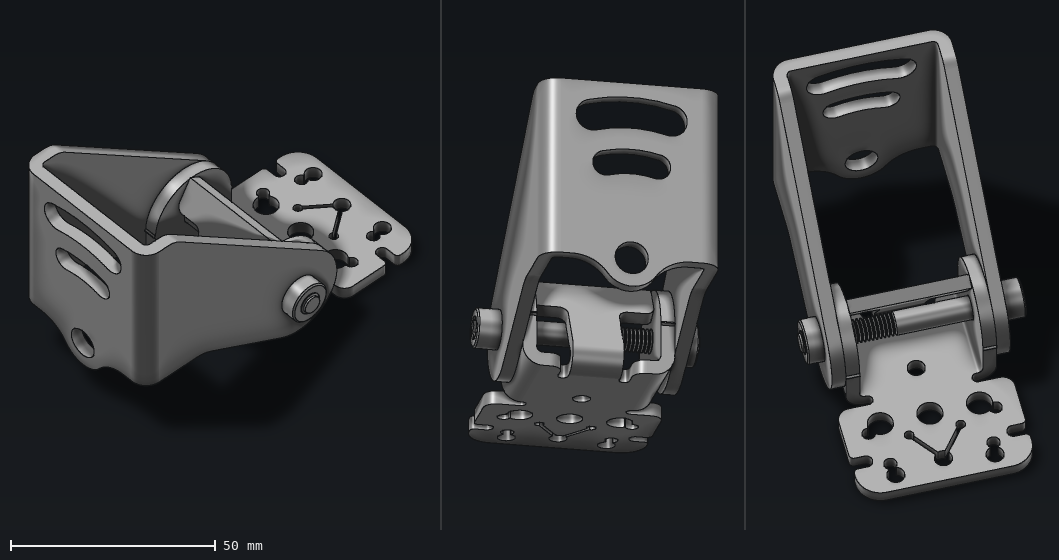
import cadquery as cq
import math


SHEET = 3.5
HINGE_Z = 13.43
BRACKET_WIDTH = 45.0
EAR_SPAN = BRACKET_WIDTH - 2 * SHEET
EAR_GAP = EAR_SPAN - 2 * SHEET
HINGE_RADIUS = 12.65

BASE_END_Y = 41.33
HEAD_WIDTH = 44.5
BASE_BEND_RADIUS = 5.0
RELIEF_WIDTH = 2.5
RELIEF_END_X = 12.55
HEAD_START_Y = HINGE_RADIUS + RELIEF_WIDTH
HEAD_END_CORNER = 6.35
HEAD_START_CORNER = 3.2
EAR_HOLE_DIAMETER = 6.2
TOOTH_HEIGHT = 0.5
TOOTH_HALF_BASE = 0.5

SMALL_HOLE = 4.37
KEY_HOLE = 3.2
LARGE_HOLE = 6.35
NECK_HOLE_Y = 7.54
LARGE_HOLE_Y = 21.3
HOLE_OFFSET_X = 12.5
SIDE_KEY = (16.0, 23.5)
SIDE_KEY_NECK = 2.6
END_HOLE_Y = 36.9
END_KEY = (13.0, 33.4)
END_KEY_NECK = 1.9
VEE_TOP_Y = 34.95
VEE_END = (6.5, 26.3)
VEE_END_HOLE = 2.3
VEE_SLIT = 0.95
EDGE_SLOT_Y = 31.3
EDGE_SLOT_WIDTH = 3.175
EDGE_SLOT_END_X = 16.97
EDGE_SLOT_LIP = 1.2

TAB_WIDTH = 12.8
TAB_GAP = 2.54
TAB_GAP_END_Y = -5.3
FOOT_CORNER = 3.2
TONGUE_FOLD = 120.0
TONGUE_BEND_RADIUS = 5.25
TONGUE_FRONT_Y = -12.55
TONGUE_TOP_Y = -1.15
PANEL_START_Y = -5.8
PANEL_CLEARANCE = 0.05
PANEL_CORNER = 2.3
PANEL_NECK_FILLET = 2.3

OVERALL_DEPTH = 92.33
BACK_Y = BASE_END_Y - OVERALL_DEPTH
TOP_Z = 60.52
ARM_BOTTOM_Z = 14.8
BRACKET_BEND_RADIUS = 4.8
ARM_TOP_SLOPE = 37.2
ARM_BOTTOM_SLOPE = 26.3
ARM_TOP_FILLET = 6.35
ARM_BOTTOM_FILLET = 11.0
ARM_HOLE_DIAMETER = 6.4
CLINCH_HOLE_DIAMETER = 8.75
LOBE_RADIUS = 7.5
LOBE_FILLET = 10.7
LOBE_HOLE_DIAMETER = 8.22
ARC_SLOTS = [(38.0, 8.0), (25.2, 6.35)]
ARC_SLOT_HALF_ANGLE = 15.0

SCREW_DIAMETER = 6.0
SCREW_LENGTH = 50.0
HEAD_DIAMETER = 10.0
HEAD_HEIGHT = 6.0
HEAD_CHAMFER = 0.4
SOCKET_FLATS = 5.0
SOCKET_DEPTH = 3.0
SOCKET_MOUTH_DIAMETER = 5.8
SOCKET_MOUTH_DEPTH = 0.4
THREAD_LENGTH = 24.0
THREAD_PITCH = 1.0
THREAD_DEPTH = 0.6134 * THREAD_PITCH
THREAD_ROOT_FLAT = THREAD_PITCH / 4
THREAD_CREST_FLAT = THREAD_PITCH / 8
NUT_DIAMETER = 11.25
NUT_HEIGHT = 4.25
NUT_CHAMFER = 0.4


def block(x_range, y_range, z_range):
    """Box given by its limits along each axis."""
    size = [high - low for low, high in (x_range, y_range, z_range)]
    corner = (x_range[0], y_range[0], z_range[0])
    return cq.Workplane("XY").box(*size, centered=False).translate(corner)


def hinge_cylinder(diameter, x_start, x_end):
    """Cylinder on the hinge axis."""
    plane = cq.Workplane("YZ", origin=(x_start, 0, HINGE_Z))
    return plane.circle(diameter / 2).extrude(x_end - x_start)


def base_cylinder(diameter, x, y):
    """Drill through the base plate."""
    return cq.Workplane("XY").center(x, y).circle(diameter / 2).extrude(SHEET)


def base_slot(width, start, end):
    """Round-ended slot through the base plate between two end centres."""
    dx = end[0] - start[0]
    dy = end[1] - start[1]
    middle = ((start[0] + end[0]) / 2, (start[1] + end[1]) / 2)
    length = math.hypot(dx, dy) + width
    plane = cq.Workplane("XY").center(*middle)
    return plane.slot2D(length, width, math.degrees(math.atan2(dy, dx))).extrude(SHEET)


def round_corner(plate, x, y, radius):
    """Fillet the upright edge of a base plate nearest to a point."""
    corner = cq.selectors.NearestToPointSelector((x, y, SHEET / 2))
    return plate.edges("|Z").edges(corner).fillet(radius)


def eared_channel():
    """Base floor with an ear bent up on each side, rounded around the hinge."""
    ear_top = HINGE_Z + HINGE_RADIUS
    y_range = (-HINGE_RADIUS, HINGE_RADIUS)
    outside = block((-EAR_SPAN / 2, EAR_SPAN / 2), y_range, (0, ear_top))
    outside = outside.edges("|Y and <Z").fillet(BASE_BEND_RADIUS)
    inside = block((-EAR_GAP / 2, EAR_GAP / 2), y_range, (SHEET, ear_top))
    inside = inside.edges("|Y and <Z").fillet(BASE_BEND_RADIUS - SHEET)
    ear_outline = (
        cq.Workplane("YZ", origin=(-EAR_SPAN / 2, 0, 0))
        .moveTo(-HINGE_RADIUS, 0)
        .lineTo(HINGE_RADIUS, 0)
        .lineTo(HINGE_RADIUS, HINGE_Z)
        .threePointArc((0, ear_top), (-HINGE_RADIUS, HINGE_Z))
        .close()
        .extrude(EAR_SPAN)
    )
    return outside.cut(inside).intersect(ear_outline)


def ear_teeth():
    """Small pointed ridges on the front and back edges of both ears."""
    teeth = cq.Workplane("XY")
    for x_start in (-EAR_SPAN / 2, EAR_GAP / 2):
        for side in (-1, 1):
            edge_y = side * HINGE_RADIUS
            tooth = (
                cq.Workplane("YZ", origin=(x_start, 0, HINGE_Z))
                .moveTo(0, -TOOTH_HALF_BASE)
                .lineTo(edge_y, -TOOTH_HALF_BASE)
                .lineTo(edge_y + side * TOOTH_HEIGHT, 0)
                .lineTo(edge_y, TOOTH_HALF_BASE)
                .lineTo(0, TOOTH_HALF_BASE)
                .close()
                .extrude(SHEET)
            )
            teeth = teeth.union(tooth)
    return teeth


def head_plate():
    """Flat mounting head with its edge slots, joined to the floor by a neck."""
    head = block((-HEAD_WIDTH / 2, HEAD_WIDTH / 2), (HEAD_START_Y, BASE_END_Y), (0, SHEET))
    head = head.edges("|Z and >Y").fillet(HEAD_END_CORNER)
    head = head.edges("|Z and <Y").fillet(HEAD_START_CORNER)
    for side in (-1, 1):
        end_x = side * (EDGE_SLOT_END_X + EDGE_SLOT_WIDTH / 2)
        mouth_x = side * HEAD_WIDTH / 2
        slot = base_slot(EDGE_SLOT_WIDTH, (end_x, EDGE_SLOT_Y), (2 * mouth_x, EDGE_SLOT_Y))
        head = head.cut(slot)
        for lip in (-1, 1):
            lip_y = EDGE_SLOT_Y + lip * EDGE_SLOT_WIDTH / 2
            head = round_corner(head, mouth_x, lip_y, EDGE_SLOT_LIP)
    neck_half = EAR_SPAN / 2 - BASE_BEND_RADIUS
    neck = block((-neck_half, neck_half), (0, LARGE_HOLE_Y), (0, SHEET))
    return head.union(neck)


def base_cutouts():
    """Holes, keyholes, the vee of slits and the bend reliefs of the base plate."""
    cuts = base_cylinder(SMALL_HOLE, 0, NECK_HOLE_Y)
    cuts = cuts.union(base_cylinder(LARGE_HOLE, 0, LARGE_HOLE_Y))
    cuts = cuts.union(base_cylinder(SMALL_HOLE, 0, VEE_TOP_Y))
    for side in (-1, 1):
        large = (side * HOLE_OFFSET_X, LARGE_HOLE_Y)
        side_key = (side * SIDE_KEY[0], SIDE_KEY[1])
        end_hole = (side * HOLE_OFFSET_X, END_HOLE_Y)
        end_key = (side * END_KEY[0], END_KEY[1])
        vee_end = (side * VEE_END[0], VEE_END[1])
        relief_end = side * (RELIEF_END_X + RELIEF_WIDTH / 2)
        relief_y = HINGE_RADIUS + RELIEF_WIDTH / 2
        cuts = (
            cuts.union(base_cylinder(LARGE_HOLE, *large))
            .union(base_cylinder(KEY_HOLE, *side_key))
            .union(base_slot(SIDE_KEY_NECK, large, side_key))
            .union(base_cylinder(SMALL_HOLE, *end_hole))
            .union(base_cylinder(KEY_HOLE, *end_key))
            .union(base_slot(END_KEY_NECK, end_hole, end_key))
            .union(base_cylinder(VEE_END_HOLE, *vee_end))
            .union(base_slot(VEE_SLIT, (0, VEE_TOP_Y), vee_end))
            .union(base_slot(RELIEF_WIDTH, (relief_end, relief_y), (side * HEAD_WIDTH, relief_y)))
        )
    return cuts


def free_tab(channel, fold_y):
    """Part the middle tab from the two feet, and end the flat floor where the tab folds."""
    gap_x = (TAB_WIDTH + TAB_GAP) / 2
    foot_x = TAB_WIDTH / 2 + TAB_GAP
    for side in (-1, 1):
        start = (side * gap_x, TAB_GAP_END_Y - TAB_GAP / 2)
        channel = channel.cut(base_slot(TAB_GAP, start, (side * gap_x, -2 * HINGE_RADIUS)))
    channel = channel.cut(block((-gap_x, gap_x), (-HINGE_RADIUS, fold_y), (0, SHEET)))
    for side in (-1, 1):
        channel = round_corner(channel, side * foot_x, -HINGE_RADIUS, FOOT_CORNER)
    return channel


def folded_tongue(fold_y):
    """Tab folded up and back over the floor, widening to a panel between the ears."""
    radius = TONGUE_BEND_RADIUS
    fold = math.radians(TONGUE_FOLD)
    rise = math.pi - fold

    def fold_point(arc_radius, angle):
        return (fold_y - arc_radius * math.sin(angle), radius - arc_radius * math.cos(angle))

    outer_end = fold_point(radius, fold)
    inner_end = fold_point(radius - SHEET, fold)
    bend = (
        cq.Workplane("YZ", origin=(-TAB_WIDTH / 2, 0, 0))
        .moveTo(fold_y, 0)
        .threePointArc(fold_point(radius, fold / 2), outer_end)
        .lineTo(*inner_end)
        .threePointArc(fold_point(radius - SHEET, fold / 2), (fold_y, SHEET))
        .close()
        .extrude(TAB_WIDTH)
    )
    outer_face = cq.Plane(
        origin=(0, *outer_end),
        xDir=(1, 0, 0),
        normal=(0, -math.sin(rise), math.cos(rise)),
    )
    panel_start = (PANEL_START_Y - outer_end[0]) / math.cos(rise)
    panel_end = (TONGUE_TOP_Y - outer_end[0]) / math.cos(rise)
    panel_half = EAR_GAP / 2 - PANEL_CLEARANCE
    tab_half = TAB_WIDTH / 2
    panel = (
        cq.Workplane(outer_face)
        .moveTo(-tab_half, 0)
        .lineTo(tab_half, 0)
        .lineTo(tab_half, panel_start - PANEL_NECK_FILLET)
        .radiusArc((tab_half + PANEL_NECK_FILLET, panel_start), PANEL_NECK_FILLET)
        .lineTo(panel_half - PANEL_CORNER, panel_start)
        .radiusArc((panel_half, panel_start + PANEL_CORNER), -PANEL_CORNER)
        .lineTo(panel_half, panel_end)
        .lineTo(-panel_half, panel_end)
        .lineTo(-panel_half, panel_start + PANEL_CORNER)
        .radiusArc((-panel_half + PANEL_CORNER, panel_start), -PANEL_CORNER)
        .lineTo(-tab_half - PANEL_NECK_FILLET, panel_start)
        .radiusArc((-tab_half, panel_start - PANEL_NECK_FILLET), PANEL_NECK_FILLET)
        .close()
        .extrude(-SHEET)
    )
    return bend.union(panel)


def make_base():
    fold_y = TONGUE_FRONT_Y + TONGUE_BEND_RADIUS
    base = free_tab(eared_channel(), fold_y)
    base = base.union(head_plate()).cut(base_cutouts())
    base = base.union(folded_tongue(fold_y)).union(ear_teeth())
    return base.cut(hinge_cylinder(EAR_HOLE_DIAMETER, -EAR_SPAN / 2, EAR_SPAN / 2))


def arm_outline():
    """Side shape of the arms: round about the hinge, with tangent edges running to the back."""
    top_angle = math.radians(ARM_TOP_SLOPE)
    bottom_angle = math.radians(ARM_BOTTOM_SLOPE)
    bottom_rise = ARM_BOTTOM_Z - HINGE_Z

    top_tangent = (HINGE_RADIUS * math.sin(top_angle), HINGE_Z + HINGE_RADIUS * math.cos(top_angle))
    top_corner_y = top_tangent[0] - (TOP_Z - top_tangent[1]) / math.tan(top_angle)
    bottom_tangent = (
        -HINGE_RADIUS * math.sin(bottom_angle),
        HINGE_Z - HINGE_RADIUS * math.cos(bottom_angle),
    )
    bottom_run = (bottom_rise + HINGE_RADIUS * math.cos(bottom_angle)) / math.tan(bottom_angle)
    bottom_corner_y = bottom_tangent[0] - bottom_run
    outline = (
        cq.Workplane("YZ", origin=(-BRACKET_WIDTH / 2, 0, 0))
        .moveTo(*top_tangent)
        .lineTo(top_corner_y, TOP_Z)
        .lineTo(BACK_Y, TOP_Z)
        .lineTo(BACK_Y, ARM_BOTTOM_Z)
        .lineTo(bottom_corner_y, ARM_BOTTOM_Z)
        .lineTo(*bottom_tangent)
        .threePointArc((HINGE_RADIUS, HINGE_Z), top_tangent)
        .close()
        .extrude(BRACKET_WIDTH)
    )
    top_corner = cq.selectors.NearestToPointSelector((0, top_corner_y, TOP_Z))
    bottom_corner = cq.selectors.NearestToPointSelector((0, bottom_corner_y, ARM_BOTTOM_Z))
    outline = outline.edges("|X").edges(top_corner).fillet(ARM_TOP_FILLET)
    return outline.edges("|X").edges(bottom_corner).fillet(ARM_BOTTOM_FILLET)


def bent_strip():
    """Two arms and the back wall, with rounded bends, before the side outline is cut."""
    half = BRACKET_WIDTH / 2
    z_range = (0, TOP_Z)
    outside = block((-half, half), (BACK_Y, HINGE_RADIUS), z_range)
    outside = outside.edges("|Z and <Y").fillet(BRACKET_BEND_RADIUS)
    inside = block((SHEET - half, half - SHEET), (BACK_Y + SHEET, HINGE_RADIUS), z_range)
    inside = inside.edges("|Z and <Y").fillet(BRACKET_BEND_RADIUS - SHEET)
    return outside.cut(inside)


def back_plane():
    """Plane on the inner face of the back wall, centred on the lobe hole, facing outwards."""
    return cq.Workplane("XZ", origin=(0, BACK_Y + SHEET, ARM_BOTTOM_Z))


def back_lobe():
    """Rounded lobe under the back wall, blending into its straight lower edge."""
    reach = LOBE_RADIUS + LOBE_FILLET
    foot_x = math.sqrt(reach**2 - LOBE_FILLET**2)
    blend_x = foot_x * LOBE_RADIUS / reach
    blend_z = -LOBE_FILLET * LOBE_RADIUS / reach
    return (
        back_plane()
        .moveTo(-foot_x, 0)
        .radiusArc((-blend_x, blend_z), LOBE_FILLET)
        .threePointArc((0, -LOBE_RADIUS), (blend_x, blend_z))
        .radiusArc((foot_x, 0), LOBE_FILLET)
        .close()
        .extrude(SHEET)
    )


def arc_slot(radius, width):
    """Curved round-ended slot through the back wall, concentric with the lobe hole."""
    inner = radius - width / 2
    outer = radius + width / 2
    angle = math.radians(ARC_SLOT_HALF_ANGLE)
    sine = math.sin(angle)
    cosine = math.cos(angle)
    tip_x = radius * sine + width / 2 * cosine
    tip_z = radius * cosine - width / 2 * sine
    return (
        back_plane()
        .moveTo(-outer * sine, outer * cosine)
        .threePointArc((0, outer), (outer * sine, outer * cosine))
        .threePointArc((tip_x, tip_z), (inner * sine, inner * cosine))
        .threePointArc((0, inner), (-inner * sine, inner * cosine))
        .threePointArc((-tip_x, tip_z), (-outer * sine, outer * cosine))
        .close()
        .extrude(SHEET)
    )


def make_bracket():
    bracket = bent_strip().intersect(arm_outline()).union(back_lobe())
    bracket = bracket.cut(back_plane().circle(LOBE_HOLE_DIAMETER / 2).extrude(SHEET))
    for radius, width in ARC_SLOTS:
        bracket = bracket.cut(arc_slot(radius, width))
    bracket = bracket.cut(hinge_cylinder(ARM_HOLE_DIAMETER, -BRACKET_WIDTH / 2, 0))
    return bracket.cut(hinge_cylinder(CLINCH_HOLE_DIAMETER, 0, BRACKET_WIDTH / 2))


def make_screw():
    """Socket-head screw along the hinge axis, its thread modelled as ring grooves."""
    seat_x = -BRACKET_WIDTH / 2
    head_x = seat_x - HEAD_HEIGHT
    tip_x = seat_x + SCREW_LENGTH
    crest = SCREW_DIAMETER / 2
    root = crest - THREAD_DEPTH
    head_radius = HEAD_DIAMETER / 2
    flank = (THREAD_PITCH - THREAD_ROOT_FLAT - THREAD_CREST_FLAT) / 2

    outline = [
        (head_x, 0),
        (head_x, head_radius - HEAD_CHAMFER),
        (head_x + HEAD_CHAMFER, head_radius),
        (seat_x, head_radius),
        (seat_x, crest),
    ]
    for turn in range(round(THREAD_LENGTH / THREAD_PITCH)):
        crest_x = tip_x - THREAD_LENGTH + turn * THREAD_PITCH
        groove_x = crest_x + THREAD_CREST_FLAT
        outline += [
            (crest_x, crest),
            (groove_x, crest),
            (groove_x + flank, root),
            (groove_x + flank + THREAD_ROOT_FLAT, root),
        ]
    outline += [(tip_x, root), (tip_x, 0)]

    screw = cq.Workplane("XY").polyline(outline).close().revolve(360, (0, 0, 0), (1, 0, 0))
    socket_corners = SOCKET_FLATS / math.cos(math.pi / 6)
    socket = cq.Workplane("YZ", origin=(head_x, 0, 0)).polygon(6, socket_corners).extrude(SOCKET_DEPTH)
    mouth_radius = SOCKET_MOUTH_DIAMETER / 2
    mouth = (
        cq.Workplane("YZ", origin=(head_x, 0, 0))
        .circle(mouth_radius)
        .workplane(offset=SOCKET_MOUTH_DEPTH)
        .circle(mouth_radius - SOCKET_MOUTH_DEPTH)
        .loft()
    )
    return screw.cut(socket).cut(mouth).translate((0, 0, HINGE_Z))


def make_nut():
    """Round nut on the outside of the right arm, with a shank that fills the arm's hole."""
    seat_x = BRACKET_WIDTH / 2
    outer_x = seat_x + NUT_HEIGHT
    collar = hinge_cylinder(NUT_DIAMETER, seat_x, outer_x).faces(">X").chamfer(NUT_CHAMFER)
    shank = hinge_cylinder(CLINCH_HOLE_DIAMETER, seat_x - SHEET, seat_x)
    bore = hinge_cylinder(SCREW_DIAMETER, seat_x - SHEET, outer_x)
    return collar.union(shank).cut(bore)


base = make_base()
bracket = make_bracket()
screw = make_screw()
nut = make_nut()

result = cq.Compound.makeCompound([base.val(), bracket.val(), screw.val(), nut.val()])